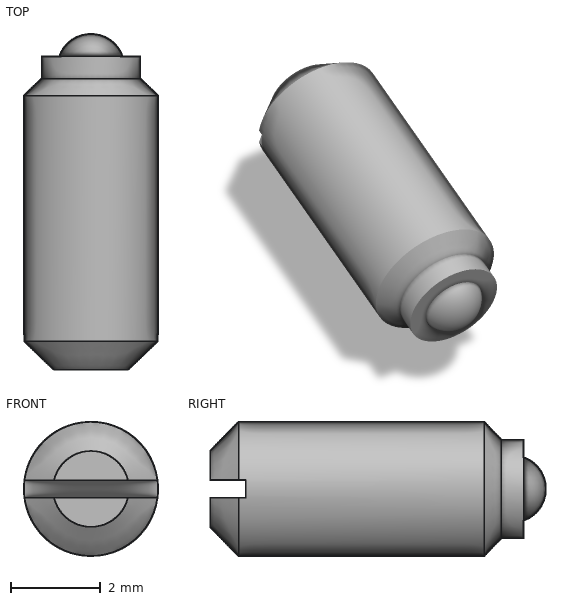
import cadquery as cq

total_length = 7.5
body_radius = 1.5

slotted_end_radius = 0.85
rear_cone_length = 0.64
front_cone_start = 6.12
front_cone_end = 6.5
nose_radius = 1.1
nose_end = 7.0

slot_width = 0.39
slot_depth = 0.795

ball_radius = 0.75
ball_center_y = total_length - ball_radius


def make_ball():
    """Complete sphere whose tip reaches the full length of the part."""
    return cq.Workplane("XY").sphere(ball_radius).translate((0, ball_center_y, 0))


def make_slot_cutter():
    """Horizontal bar that cuts the slot through the full width of the housing."""
    return cq.Workplane("XY").box(
        2 * body_radius, slot_depth, slot_width, centered=(True, False, True)
    )


def make_housing():
    """Turned housing with a cone at each end, a nose, a slot and a ball seat."""
    turned = (
        cq.Workplane("XY")
        .moveTo(0, 0)
        .lineTo(slotted_end_radius, 0)
        .lineTo(body_radius, rear_cone_length)
        .lineTo(body_radius, front_cone_start)
        .lineTo(nose_radius, front_cone_end)
        .lineTo(nose_radius, nose_end)
        .lineTo(0, nose_end)
        .close()
        .revolve(360, (0, 0, 0), (0, 1, 0))
    )
    return turned.cut(make_slot_cutter()).cut(make_ball())


housing = make_housing()
ball = make_ball()

result = cq.Compound.makeCompound([housing.val(), ball.val()])